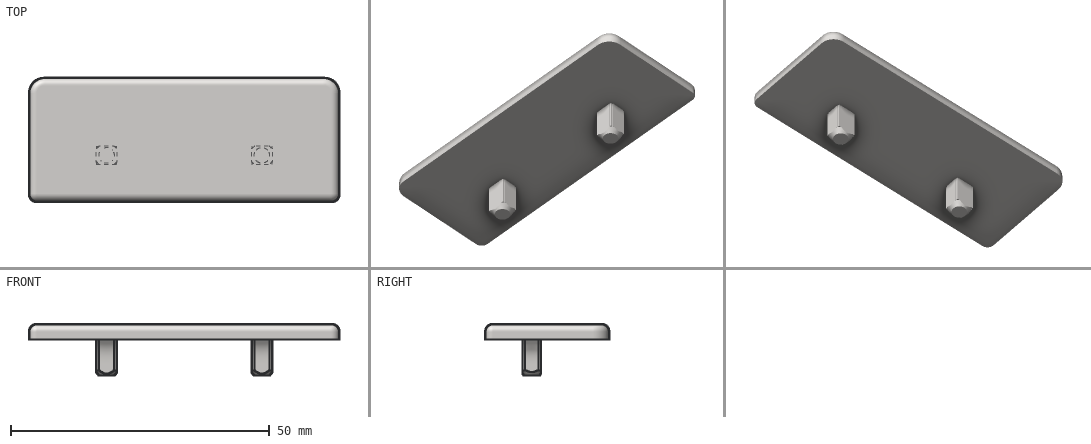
import cadquery as cq

plate_length = 60.0
plate_width = 24.0
plate_thickness = 3.0
edge_radius = 1.5
front_corner_radius = edge_radius
back_corner_radius = 3.0

total_height = 9.98
post_length = total_height - plate_thickness
post_spacing = 30.0
post_y = -3.0
post_size_x = 4.1
post_size_y = 3.6
side_pad_height = 0.12
front_pad_height = 0.05
side_pad_width = 2.6
front_pad_width = 2.9
tip_radius = 1.5
tip_base_radius = 2.3
tip_height = 1.0


def make_plate():
    """Plate with rounded vertical corners and a rounded top edge, bottom at Z = 0."""
    plate = cq.Workplane("XY").box(plate_length, plate_width, plate_thickness, centered=(True, True, False))
    plate = plate.edges("|Z and <Y").fillet(front_corner_radius)
    plate = plate.edges("|Z and >Y").fillet(back_corner_radius)
    return plate.faces(">Z").edges().fillet(edge_radius)


def make_post(x):
    """Post hanging down from the underside of the plate, centred at the given X."""
    base = cq.Workplane("XY", origin=(x, post_y, -post_length))
    core_x = post_size_x - 2 * side_pad_height
    core_y = post_size_y - 2 * front_pad_height
    core = base.rect(core_x, core_y).extrude(post_length)
    side_pads = base.rect(post_size_x, side_pad_width).extrude(post_length)
    front_pads = base.rect(front_pad_width, post_size_y).extrude(post_length)
    shank = core.union(side_pads).union(front_pads)
    cone = base.circle(tip_radius).workplane(offset=tip_height).circle(tip_base_radius).loft()
    shank_above = base.workplane(offset=tip_height).rect(post_size_x, post_size_y)
    shank_above = shank_above.extrude(post_length - tip_height)
    return shank.intersect(cone.union(shank_above))


result = make_plate()
for side in (-1, 1):
    result = result.union(make_post(side * post_spacing / 2))